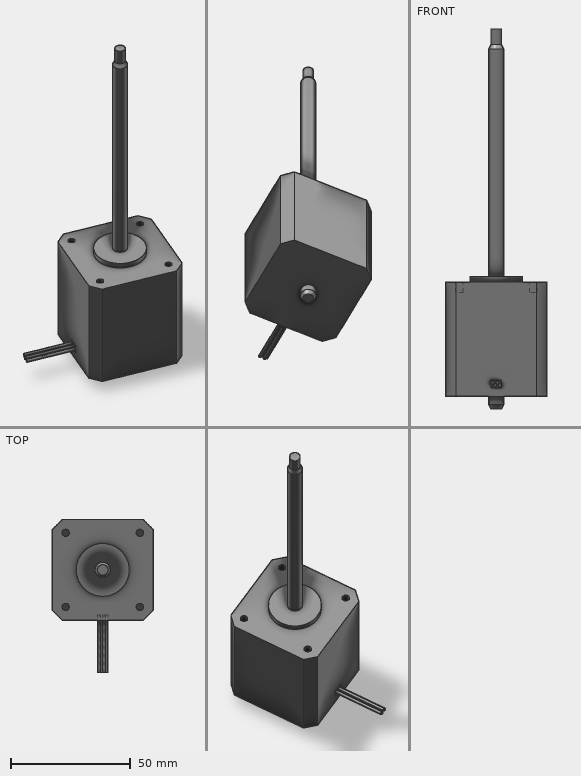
import cadquery as cq

body_width = 42.2
body_height = 47.8
corner_chamfer = 4.3

pilot_diameter = 22.0
pilot_height = 2.4

hole_spacing = 31.0
hole_diameter = 3.0
hole_depth = 4.5

total_height = 158.8
shaft_diameter = 6.4
shaft_bottom = -5.2
shaft_top = total_height + shaft_bottom
journal_diameter = 4.5
journal_length = 6.5
shoulder_height = 1.9
tail_chamfer_height = 1.9
tail_end_diameter = 4.5

outlet_width = 4.5
outlet_height = 3.5
outlet_depth = 2.4
outlet_z = 5.2

total_depth = 64.0
wire_diameter = 1.25
wire_count = 4
wire_step = 1.02
row_spacing = 1.06
wire_root = 1.6
front_y = -body_width / 2
wire_end_y = body_width / 2 - total_depth


def make_body():
    body = cq.Workplane("XY").rect(body_width, body_width).extrude(body_height)
    body = body.edges("|Z").chamfer(corner_chamfer)
    pilot = cq.Workplane("XY").workplane(offset=body_height).circle(pilot_diameter / 2).extrude(pilot_height)
    return body.union(pilot)


def make_mounting_holes():
    return (
        cq.Workplane("XY")
        .workplane(offset=body_height - hole_depth)
        .rect(hole_spacing, hole_spacing, forConstruction=True)
        .vertices()
        .circle(hole_diameter / 2)
        .extrude(hole_depth)
    )


def make_shaft():
    shaft_radius = shaft_diameter / 2
    journal_radius = journal_diameter / 2
    journal_bottom = shaft_top - journal_length
    half_profile = [
        (0, shaft_bottom),
        (tail_end_diameter / 2, shaft_bottom),
        (shaft_radius, shaft_bottom + tail_chamfer_height),
        (shaft_radius, journal_bottom - shoulder_height),
        (journal_radius, journal_bottom),
        (journal_radius, shaft_top),
        (0, shaft_top),
    ]
    return cq.Workplane("XZ").polyline(half_profile).close().revolve(360, (0, 0), (0, 1))


def make_outlet():
    return (
        cq.Workplane("XY")
        .box(outlet_width, outlet_depth, outlet_height)
        .translate((0, front_y + outlet_depth / 2, outlet_z))
    )


def make_wires():
    wire_start_y = front_y + outlet_depth + wire_root
    first_x = -(wire_count - 1) / 2 * wire_step
    centers = []
    for index in range(wire_count):
        row_side = 1 if index % 2 == 0 else -1
        centers.append((first_x + index * wire_step, row_side * row_spacing / 2))
    return (
        cq.Workplane("XZ", origin=(0, wire_start_y, outlet_z))
        .pushPoints(centers)
        .circle(wire_diameter / 2)
        .extrude(wire_start_y - wire_end_y)
    )


result = make_body().cut(make_mounting_holes()).union(make_shaft())
result = result.cut(make_outlet()).union(make_wires())